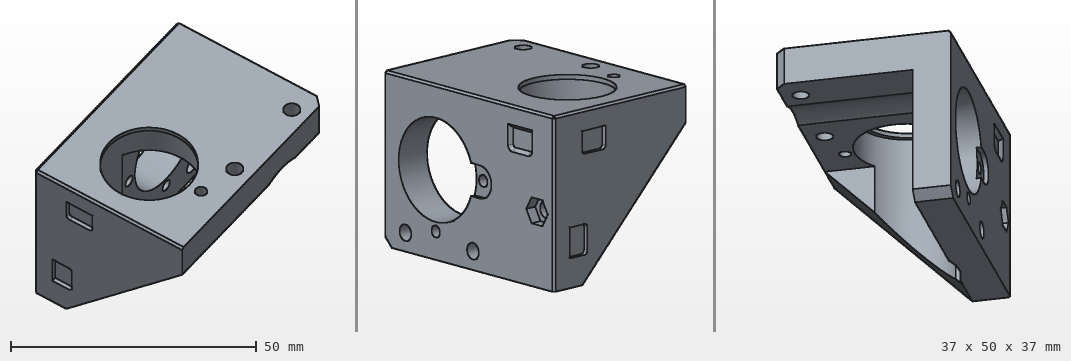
import cadquery as cq
import math

width = 37.0
length = 50.0
height = width
wall = 8.0
corner_chamfer = 2.0
edge_chamfer = 0.5

seat_radius = 11.0
lip_radius = 10.0
lip_thickness = 1.0
bore_offset = wall + lip_radius
bore_end_margin = 15.0
top_bore_x = bore_offset
top_bore_y = bore_end_margin
side_bore_y = length - bore_end_margin
side_bore_z = height - bore_offset

mount_diameter = 3.5
mount_edge_margin = 4.0
mount_end_margins = (6.0, 26.0)
retainer_diameter = 2.5
retainer_edge_margin = 6.0

washer_radius = 3.5
washer_depth = 1.0
washer_y = length - 28.0

nut_across_flats = 5.5
nut_across_corners = nut_across_flats / math.cos(math.pi / 6)
nut_depth = 2.5
nut_y = 5.0
nut_z = 16.0
nut_screw_depth = wall

front_pocket_long = 6.5
front_pocket_short = 4.9
front_pocket_depth = 1.0
front_pocket_inset = 4.5
upper_pocket_x = wall
lower_pocket_z = 6.3
side_pocket_width = 7.25
side_pocket_height = 5.7
side_pocket_depth = 0.8
side_pocket_taper = 45.0
side_pocket_center_y = 10.0
side_pocket_center_z = 30.05
front_pocket_corner_radius = 0.8
side_pocket_corner_radius = 1.35


def side_plane():
    """Sketch plane on the outer face of the side plate: local x is -Y, local y is Z, normal is -X."""
    return cq.Workplane(cq.Plane(origin=(0, 0, 0), xDir=(0, -1, 0), normal=(-1, 0, 0)))


def side_hole(y, z, diameter, depth):
    return side_plane().center(-y, z).circle(diameter / 2).extrude(-depth)


def top_hole(x, y, diameter, depth):
    return cq.Workplane("XY", origin=(x, y, height)).circle(diameter / 2).extrude(-depth)


def make_body():
    side_plate = cq.Workplane("XY").box(wall, length, height, centered=False)
    side_plate = side_plate.edges(">Y and <Z").chamfer(corner_chamfer)
    top_plate = cq.Workplane("XY", origin=(0, 0, height - wall)).box(width, length, wall, centered=False)
    top_plate = top_plate.edges(">X and >Y").chamfer(corner_chamfer)
    gusset = (
        cq.Workplane("XZ")
        .polyline([(0, 0), (wall, 0), (width, height - wall), (width, height), (0, height)])
        .close()
        .extrude(-wall)
    )
    body = side_plate.union(top_plate).union(gusset).clean()
    outer_edges = "(<X and >Z) or (<X and <Y) or (<Y and >Z)"
    return body.edges(outer_edges).chamfer(edge_chamfer)


def make_bores():
    top_lip = top_hole(top_bore_x, top_bore_y, 2 * lip_radius, height)
    top_seat = (
        cq.Workplane("XY")
        .center(top_bore_x, top_bore_y)
        .circle(seat_radius)
        .extrude(height - lip_thickness)
    )
    side_seat = side_hole(side_bore_y, side_bore_z, 2 * seat_radius, width)
    return top_lip.union(top_seat).union(side_seat)


def make_plate_holes():
    holes = top_hole(width - retainer_edge_margin, top_bore_y, retainer_diameter, wall)
    holes = holes.union(side_hole(side_bore_y, retainer_edge_margin, retainer_diameter, wall))
    for margin in mount_end_margins:
        y = length - margin
        holes = holes.union(top_hole(width - mount_edge_margin, y, mount_diameter, wall))
        holes = holes.union(side_hole(y, mount_edge_margin, mount_diameter, wall))
    return holes


def make_washer_recess():
    reach = side_bore_y - washer_y
    recess = side_hole(washer_y, side_bore_z, 2 * washer_radius, washer_depth)
    channel = (
        side_plane()
        .center(-(washer_y + reach / 2), side_bore_z)
        .rect(reach, 2 * washer_radius)
        .extrude(-washer_depth)
    )
    return recess.union(channel).union(side_hole(washer_y, side_bore_z, retainer_diameter, wall))


def make_nut_trap():
    trap = (
        side_plane()
        .center(-nut_y, nut_z)
        .polygon(6, nut_across_corners)
        .extrude(-nut_depth)
    )
    return trap.union(side_hole(nut_y, nut_z, mount_diameter, nut_screw_depth))


def front_pocket(x, z, size_x, size_z, rounded_edges):
    pocket = cq.Workplane("XY", origin=(x, 0, z)).box(size_x, front_pocket_depth, size_z, centered=False)
    return pocket.edges("|Y").edges(rounded_edges).fillet(front_pocket_corner_radius)


def make_front_pockets():
    upper_pocket_z = height - front_pocket_inset - front_pocket_short
    upper = front_pocket(upper_pocket_x, upper_pocket_z, front_pocket_long, front_pocket_short, "<Z")
    lower = front_pocket(front_pocket_inset, lower_pocket_z, front_pocket_short, front_pocket_long, ">X")
    return upper.union(lower)


def make_side_pocket():
    outline = (
        cq.Sketch()
        .rect(side_pocket_width, side_pocket_height)
        .vertices("<Y")
        .fillet(side_pocket_corner_radius)
    )
    return (
        side_plane()
        .center(-side_pocket_center_y, side_pocket_center_z)
        .placeSketch(outline)
        .extrude(-side_pocket_depth, taper=side_pocket_taper)
    )


result = (
    make_body()
    .cut(make_bores())
    .cut(make_plate_holes())
    .cut(make_washer_recess())
    .cut(make_nut_trap())
    .cut(make_front_pockets())
    .cut(make_side_pocket())
)